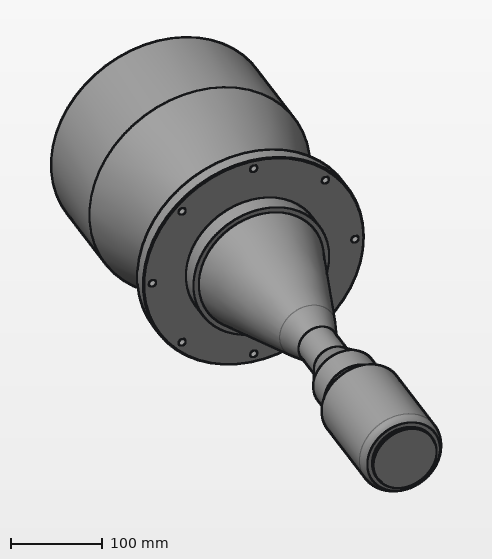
import cadquery as cq

length = 700.0
head_radius = 129.9

head_end = 110.5
front_collar_start = 242.0
flange_start = 246.5
flange_thickness = 19.0
flange_end = flange_start + flange_thickness
rear_collar_end = 287.0
cone_break = 420.0
neck_start = 449.5
neck_end = 493.5
sleeve_start = 526.5
sleeve_end = 558.0
handle_start = 576.0
end_cap_height = 4.0
handle_end = length - end_cap_height

front_collar_radius = 82.5
rear_collar_radius = 80.0
cone_base_radius = 73.5
cone_break_radius = 33.0
neck_radius = 22.75
sleeve_radius = 37.0
handle_radius = 47.5
handle_end_radius = 43.0
end_cap_radius = 37.0

handle_rounding_length = 10.5
flange_chamfer = 1.05
hole_count = 8
hole_circle_radius = 119.0
hole_diameter = 8.5


def make_body():
    """Revolve the stepped and tapered half outline about the X axis."""
    outline = (
        cq.Workplane("XY")
        .moveTo(0, 0)
        .lineTo(0, head_radius)
        .lineTo(head_end, head_radius)
        .lineTo(front_collar_start, front_collar_radius)
        .lineTo(flange_end, front_collar_radius)
        .lineTo(flange_end, rear_collar_radius)
        .lineTo(rear_collar_end, rear_collar_radius)
        .lineTo(rear_collar_end, cone_base_radius)
        .lineTo(cone_break, cone_break_radius)
        .lineTo(neck_start, neck_radius)
        .lineTo(neck_end, neck_radius)
        .lineTo(sleeve_start, sleeve_radius)
        .lineTo(sleeve_end, sleeve_radius)
        .lineTo(handle_start, handle_radius)
        .lineTo(handle_end - handle_rounding_length, handle_radius)
        .tangentArcPoint((handle_end, handle_end_radius), relative=False)
        .lineTo(handle_end, end_cap_radius)
        .lineTo(length, end_cap_radius)
        .lineTo(length, 0)
        .close()
    )
    return outline.revolve(360, (0, 0, 0), (1, 0, 0))


def make_flange():
    """Round flange with chamfered rims and a ring of through holes."""
    return (
        cq.Workplane("YZ", origin=(flange_start, 0, 0))
        .circle(head_radius)
        .extrude(flange_thickness)
        .edges()
        .chamfer(flange_chamfer)
        .faces("<X")
        .workplane()
        .polarArray(hole_circle_radius, 0, 360, hole_count)
        .hole(hole_diameter)
    )


result = make_body().union(make_flange())